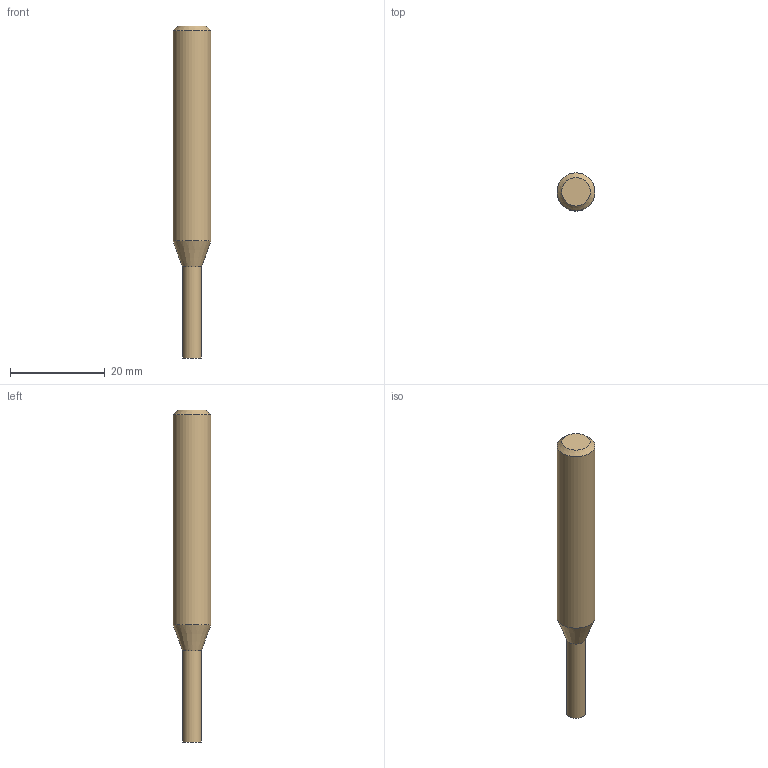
import cadquery as cq
import math

total_length = 70.0
shank_diameter = 8.0
neck_diameter = 4.0
neck_length = 19.2
taper_half_angle = 20.0
top_chamfer = 1.0

shank_radius = shank_diameter / 2
neck_radius = neck_diameter / 2
taper_length = (shank_radius - neck_radius) / math.tan(math.radians(taper_half_angle))
shank_bottom = neck_length + taper_length


def half_profile():
    """Outline of half the pin in the XZ plane, from the neck's tip at Z = 0 up to the shank's end."""
    return (
        cq.Workplane("XZ")
        .moveTo(0, 0)
        .lineTo(neck_radius, 0)
        .lineTo(neck_radius, neck_length)
        .lineTo(shank_radius, shank_bottom)
        .lineTo(shank_radius, total_length - top_chamfer)
        .lineTo(shank_radius - top_chamfer, total_length)
        .lineTo(0, total_length)
        .close()
    )


result = half_profile().revolve(360, (0, 0, 0), (0, 1, 0))